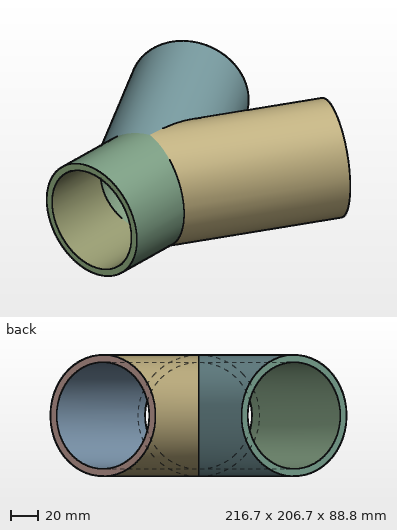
import cadquery as cq
import math

outer_diameter = 88.8
bore_diameter = 78.0
overall_width = 216.7
overall_length = 206.7
branch_angle = math.radians(30)

outer_radius = outer_diameter / 2
branch_length = (overall_width / 2 - outer_radius * math.cos(branch_angle)) / math.sin(branch_angle)
branch_reach = branch_length * math.cos(branch_angle) + outer_radius * math.sin(branch_angle)
stem_length = overall_length - branch_reach


def wye(diameter):
    """Solid Y of round bars: two mitred elbows joined at the plane X = 0."""
    branch_end = (branch_length * math.sin(branch_angle), branch_length * math.cos(branch_angle))
    axis = cq.Workplane("XY").moveTo(0, -stem_length).lineTo(0, 0).lineTo(*branch_end)
    elbow = (
        cq.Workplane("XZ", origin=(0, -stem_length, 0))
        .circle(diameter / 2)
        .sweep(axis, transition="right")
    )

    block_size = 2 * (overall_width + overall_length)
    right_side = cq.Workplane("XY").box(block_size, block_size, block_size, centered=(False, True, True))
    right_half = elbow.intersect(right_side)
    return right_half.union(right_half.mirror("YZ"))


result = wye(outer_diameter).cut(wye(bore_diameter))